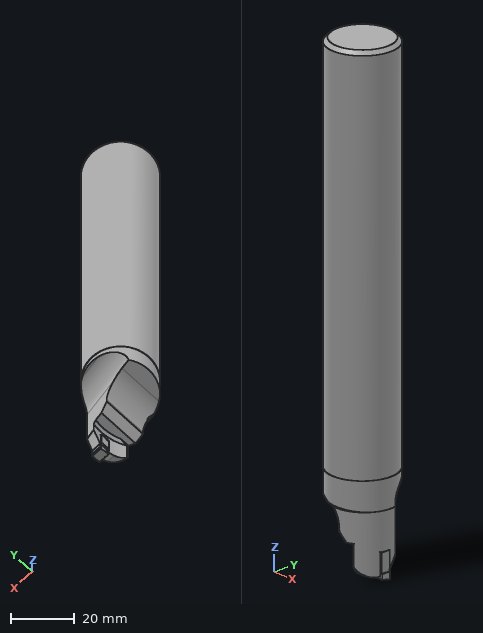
import cadquery as cq
import math

TOTAL_LENGTH = 180.0
SHANK_DIAMETER = 25.0
HEAD_DIAMETER = 24.8
HEAD_TOP_Z = 34.5
TOP_CHAMFER = 1.5

NECK_RADIUS = 11.5
NECK_TOP_Z = 23.8
NECK_OFFSET_X = HEAD_DIAMETER / 2 - NECK_RADIUS

HEAD_BOTTOM_Z = 25.7
THROAT_RADIUS = 8.3
THROAT_X = 1.5
THROAT_BOTTOM_Z = 16.2
STEP_X = 4.3
STEP_Z = 13.0
BLADE_EDGE_X = 6.5

WALL_RADIUS = 19.5
WALL_X = 8.8
WALL_CHAMFER = 1.0

SCOOP_TOP_Z = 31.7
SCOOP_RADIUS = 6.8
SCOOP_Y = 4.9
SCOOP_TILT = -10.0

BLADE_BOTTOM_Z = 1.6
BLADE_BACK_Y = -10.3
HEEL_RADIUS = 5.0
GULLET_TOP_Y = 4.1
GULLET_TOP_Z = 8.6
GULLET_MID_Y = 1.6
GULLET_MID_Z = 5.8
GULLET_BOTTOM_Y = 0.2
GULLET_BOTTOM_Z = 3.2

INSERT_TOP_Z = 9.9
INSERT_THICKNESS = 3.5
STEM_LEFT_X = 8.3
STEM_RIGHT_X = 12.5
STEM_BEVEL = 0.7
TOOTH_LEFT_X = 8.6
TOOTH_RIGHT_X = 12.69
TOOTH_TOP_Z = 2.7
TOOTH_CORNER_RADIUS = 0.4
TOOTH_CLEARANCE_ANGLE = 12.0

OVERSIZE = 54.0


def make_bar():
    """Shank, head and flared neck before any relief is cut."""
    shank = (
        cq.Workplane("XY")
        .workplane(offset=HEAD_TOP_Z)
        .circle(SHANK_DIAMETER / 2)
        .extrude(TOTAL_LENGTH - HEAD_TOP_Z)
        .faces(">Z")
        .chamfer(TOP_CHAMFER)
    )
    head = cq.Workplane("XY").circle(HEAD_DIAMETER / 2).extrude(HEAD_TOP_Z)
    flare_radius = NECK_RADIUS + HEAD_TOP_Z - NECK_TOP_Z
    flared_neck = (
        cq.Workplane("XZ")
        .polyline([
            (0, 0),
            (NECK_RADIUS, 0),
            (NECK_RADIUS, NECK_TOP_Z),
            (flare_radius, HEAD_TOP_Z),
            (0, HEAD_TOP_Z),
        ])
        .close()
        .revolve(360, (0, 0, 0), (0, 1, 0))
        .translate((NECK_OFFSET_X, 0, 0))
    )
    return shank.union(head.intersect(flared_neck))


def make_throat_cut():
    """Everything on the -X side below the head, down to the flat edge of the blade."""
    diagonal = THROAT_RADIUS * math.sqrt(0.5)
    arc_x = THROAT_X - THROAT_RADIUS
    arc_z = HEAD_BOTTOM_Z - THROAT_RADIUS
    return (
        cq.Workplane("XZ")
        .moveTo(-OVERSIZE / 2, HEAD_BOTTOM_Z)
        .lineTo(arc_x, HEAD_BOTTOM_Z)
        .threePointArc((arc_x + diagonal, arc_z + diagonal), (THROAT_X, arc_z))
        .lineTo(THROAT_X, THROAT_BOTTOM_Z)
        .lineTo(STEP_X, STEP_Z)
        .lineTo(BLADE_EDGE_X, STEP_Z)
        .lineTo(BLADE_EDGE_X, 0)
        .lineTo(-OVERSIZE / 2, 0)
        .close()
        .extrude(OVERSIZE / 2, both=True)
    )


def make_wall_cut():
    """Upright cylinder that hollows the blade's -X side, chamfered where it meets the step."""
    return (
        cq.Workplane("XY")
        .center(WALL_X - WALL_RADIUS, 0)
        .circle(WALL_RADIUS)
        .extrude(STEP_Z)
        .faces(">Z")
        .edges()
        .chamfer(WALL_CHAMFER)
    )


def make_scoop_cut():
    """Relief of the +Y side: an upright flat that curves out to the head's surface."""
    arc_y = SCOOP_Y + SCOOP_RADIUS
    arc_z = SCOOP_TOP_Z - SCOOP_RADIUS
    diagonal = SCOOP_RADIUS * math.sqrt(0.5)
    return (
        cq.Workplane("YZ")
        .moveTo(SCOOP_Y, 0)
        .lineTo(SCOOP_Y, arc_z)
        .threePointArc((arc_y - diagonal, arc_z + diagonal), (arc_y, SCOOP_TOP_Z))
        .lineTo(OVERSIZE / 2, SCOOP_TOP_Z)
        .lineTo(OVERSIZE / 2, 0)
        .close()
        .extrude(OVERSIZE / 2, both=True)
        .rotate((0, 0, 0), (0, 0, 1), SCOOP_TILT)
    )


def make_blade_end_cut():
    """Removes the chip gullet, the space under the blade and the corner outside its round heel."""
    diagonal = HEEL_RADIUS * math.sqrt(0.5)
    heel_y = BLADE_BACK_Y + HEEL_RADIUS
    heel_z = BLADE_BOTTOM_Z + HEEL_RADIUS
    return (
        cq.Workplane("YZ")
        .moveTo(OVERSIZE / 2, GULLET_TOP_Z)
        .lineTo(GULLET_TOP_Y, GULLET_TOP_Z)
        .threePointArc((GULLET_MID_Y, GULLET_MID_Z), (GULLET_BOTTOM_Y, GULLET_BOTTOM_Z))
        .lineTo(0, BLADE_BOTTOM_Z)
        .lineTo(heel_y, BLADE_BOTTOM_Z)
        .threePointArc((heel_y - diagonal, heel_z - diagonal), (BLADE_BACK_Y, heel_z))
        .lineTo(-OVERSIZE / 2, heel_z)
        .lineTo(-OVERSIZE / 2, 0)
        .lineTo(OVERSIZE / 2, 0)
        .close()
        .extrude(OVERSIZE / 2, both=True)
    )


def make_insert():
    """Stem and tooth in one piece, with the cutting edge on the Y = 0 face."""
    body = (
        cq.Workplane("XZ")
        .polyline([
            (TOOTH_LEFT_X, 0),
            (TOOTH_RIGHT_X, 0),
            (TOOTH_RIGHT_X, TOOTH_TOP_Z),
            (STEM_RIGHT_X, TOOTH_TOP_Z),
            (STEM_RIGHT_X, INSERT_TOP_Z),
            (STEM_LEFT_X + STEM_BEVEL, INSERT_TOP_Z),
            (STEM_LEFT_X, INSERT_TOP_Z - STEM_BEVEL),
            (STEM_LEFT_X, TOOTH_TOP_Z + STEM_BEVEL),
            (TOOTH_LEFT_X, TOOTH_TOP_Z),
        ])
        .close()
        .extrude(INSERT_THICKNESS)
        .faces("<Z")
        .edges("|Y")
        .fillet(TOOTH_CORNER_RADIUS)
    )
    clearance_rise = INSERT_THICKNESS * math.tan(math.radians(TOOTH_CLEARANCE_ANGLE))
    clearance = (
        cq.Workplane("YZ")
        .polyline([(0, 0), (-INSERT_THICKNESS, 0), (-INSERT_THICKNESS, clearance_rise)])
        .close()
        .extrude(OVERSIZE / 2)
    )
    return body.cut(clearance)


insert = make_insert()
holder = (
    make_bar()
    .cut(make_throat_cut())
    .cut(make_wall_cut())
    .cut(make_scoop_cut())
    .cut(make_blade_end_cut())
    .cut(insert)
)

result = cq.Compound.makeCompound([holder.val(), insert.val()])